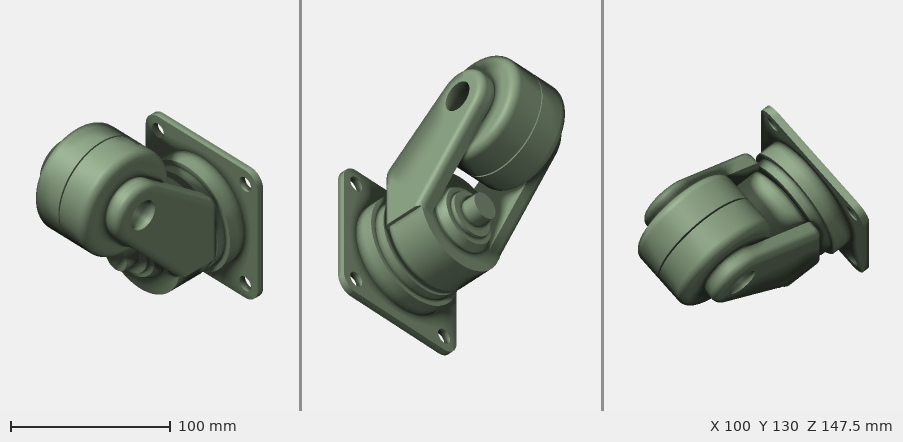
import cadquery as cq
import math


overall_depth = 130.0

plate_size = 100.0
plate_thickness = 5.0
plate_corner_radius = 11.0
mount_hole_diameter = 10.5
mount_hole_spacing = 78.0

flange_radius = 39.0
flange_depth = 18.2
race_radius = 35.0
race_depth = 25.0
neck_radius = 26.0
fork_back_depth = 27.0

fork_disc_radius = 35.5
fork_front_depth = 58.7
fork_half_width = 37.0
fork_half_gap = 25.5
cheek_thickness = fork_half_width - fork_half_gap
cheek_end_radius = 21.0
cheek_top_corner_height = 36.2
cheek_top_corner_radius = 8.0
cheek_foot_height = -8.0
cheek_foot_blend_radius = 5.0
cheek_foot_overlap = 4.0
fork_edge_radius = 5.0

bolt_collar_radius = 23.2
bolt_collar_depth = 60.5
bolt_cone_radius = 20.0
bolt_cone_depth = 65.8
bolt_washer_radius = 16.0
bolt_washer_depth = 68.9
bolt_end_radius = 9.4
bolt_end_depth = 80.0

wheel_radius = 37.5
wheel_depth = overall_depth - wheel_radius
wheel_height = 60.0
wheel_outer_half_width = 24.2
wheel_half_gap = 0.6
wheel_edge_radius = 6.0
axle_spacer_radius = 20.6
axle_sleeve_radius = 11.6
axle_bore_radius = 10.5


def turned(profile):
    """Solid of revolution about the swivel axis from (radius, depth) points."""
    points = [(radius, -depth) for radius, depth in profile]
    return cq.Workplane("XY").polyline(points).close().revolve(360, (0, 0, 0), (0, 1, 0))


def cylinder_along_x(radius, x_start, x_end):
    """Cylinder on the wheel axle between two X positions."""
    return (
        cq.Workplane("YZ", origin=(x_start, 0, 0))
        .center(-wheel_depth, wheel_height)
        .circle(radius)
        .extrude(x_end - x_start)
    )


def tangent_touch_point(point, side):
    """Where the line from a (Y, Z) point touches the rounded cheek end; side is +1 or -1."""
    to_point_y = point[0] + wheel_depth
    to_point_z = point[1] - wheel_height
    distance = math.hypot(to_point_y, to_point_z)
    angle = math.atan2(to_point_z, to_point_y) + side * math.acos(cheek_end_radius / distance)
    return (
        -wheel_depth + cheek_end_radius * math.cos(angle),
        wheel_height + cheek_end_radius * math.sin(angle),
    )


def make_plate():
    plate = (
        cq.Workplane("XZ")
        .rect(plate_size, plate_size)
        .extrude(plate_thickness)
        .edges("|Y")
        .fillet(plate_corner_radius)
    )
    holes = (
        cq.Workplane("XZ")
        .rect(mount_hole_spacing, mount_hole_spacing, forConstruction=True)
        .vertices()
        .circle(mount_hole_diameter / 2)
        .extrude(plate_thickness)
    )
    return plate.cut(holes)


def make_bearing():
    return turned([
        (0, plate_thickness),
        (flange_radius, plate_thickness),
        (flange_radius, flange_depth),
        (race_radius, flange_depth),
        (race_radius, race_depth),
        (neck_radius, race_depth),
        (neck_radius, fork_back_depth),
        (0, fork_back_depth),
    ])


def make_bolt():
    return turned([
        (0, fork_front_depth),
        (bolt_collar_radius, fork_front_depth),
        (bolt_collar_radius, bolt_collar_depth),
        (bolt_cone_radius, bolt_cone_depth),
        (bolt_washer_radius, bolt_cone_depth),
        (bolt_washer_radius, bolt_washer_depth),
        (bolt_end_radius, bolt_washer_depth),
        (bolt_end_radius, bolt_end_depth),
        (0, bolt_end_depth),
    ])


def make_fork_disc():
    return (
        cq.Workplane("XZ", origin=(0, -fork_back_depth, 0))
        .circle(fork_disc_radius)
        .extrude(fork_front_depth - fork_back_depth)
        .faces(">Y")
        .edges()
        .fillet(fork_edge_radius)
    )


def make_cheek():
    """Cheek on the +X side: a tapered arm with all outer edges but the foot rounded."""
    overlap_height = cheek_foot_height - cheek_foot_overlap
    top_corner = (-fork_back_depth, cheek_top_corner_height)
    foot_corner = (-fork_front_depth, cheek_foot_height)
    end_tip = (-wheel_depth - cheek_end_radius, wheel_height)
    arm = (
        cq.Workplane("YZ", origin=(fork_half_gap, 0, 0))
        .moveTo(-fork_back_depth, overlap_height)
        .lineTo(*top_corner)
        .lineTo(*tangent_touch_point(top_corner, 1))
        .threePointArc(end_tip, tangent_touch_point(foot_corner, -1))
        .lineTo(*foot_corner)
        .lineTo(-fork_front_depth, overlap_height)
        .close()
        .extrude(cheek_thickness)
    )

    def corner_edge(corner):
        middle = (fork_half_gap + cheek_thickness / 2, corner[0], corner[1])
        return cq.selectors.NearestToPointSelector(middle)

    arm = arm.edges("|X").edges(corner_edge(top_corner)).fillet(cheek_top_corner_radius)
    arm = arm.edges("|X").edges(corner_edge(foot_corner)).fillet(cheek_foot_blend_radius)
    arm = arm.faces(">X").edges("not <Z").fillet(fork_edge_radius)

    foot_zone = (
        cq.Workplane("XY", origin=(0, 0, cheek_foot_height))
        .rect(2 * fork_half_width, 2 * overall_depth)
        .extrude(-cheek_foot_overlap)
    )
    disc_zone = (
        cq.Workplane("XZ", origin=(0, -fork_back_depth - fork_edge_radius, 0))
        .circle(fork_disc_radius)
        .extrude(wheel_depth)
    )
    return arm.cut(foot_zone.cut(disc_zone))


def make_wheel():
    """Wheel half on the +X side, with a rounded outer rim."""
    return (
        cylinder_along_x(wheel_radius, wheel_half_gap, wheel_outer_half_width)
        .faces(">X")
        .edges()
        .fillet(wheel_edge_radius)
    )


cheek = make_cheek()
wheel = make_wheel()
axle_sleeve = cylinder_along_x(axle_sleeve_radius, -wheel_outer_half_width, wheel_outer_half_width)
spacer = cylinder_along_x(axle_spacer_radius, wheel_outer_half_width, fork_half_gap)
axle_bore = cylinder_along_x(axle_bore_radius, -fork_half_width, fork_half_width)

result = make_plate().union(make_bearing()).union(make_fork_disc()).union(make_bolt())
for side_part in (cheek, spacer, wheel):
    result = result.union(side_part).union(side_part.mirror("YZ"))
result = result.union(axle_sleeve).cut(axle_bore)